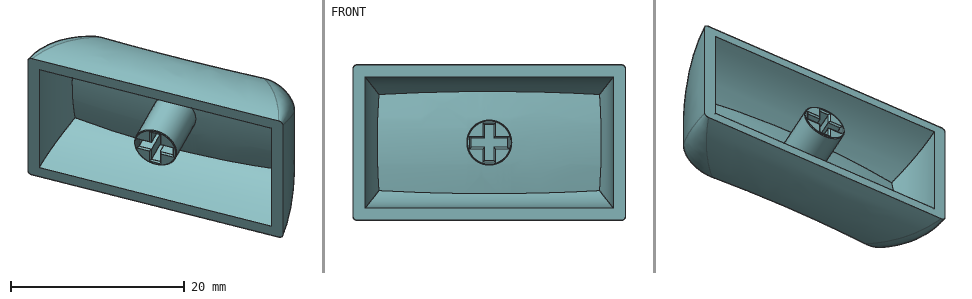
import cadquery as cq
import math

LENGTH = 31.5
WIDTH = 18.0
WALL = 1.42

END_RADIUS = 21.0
SIDE_RADIUS = 17.4
INNER_END_RADIUS = 18.1
INNER_SIDE_RADIUS = 14.65
BLANK_HEIGHT = 10.08
SECTION_COUNT = 8

CORNER_RADIUS_OPEN = 0.5
CORNER_GROWTH = 0.37

DISH_HEIGHT = 7.62
DISH_RADIUS_X = 94.5
DISH_RADIUS_Z = 32.13
TOP_WALL = 1.32
FLOOR_HEIGHT = DISH_HEIGHT - TOP_WALL
FLOOR_RADIUS_X = 119.7
FLOOR_RADIUS_Z = 34.65
BARREL_LENGTH = 37.8

STEM_DIAMETER = 5.2
STEM_CHAMFER = 0.1
CROSS_LENGTH = 4.15
CROSS_BAR = 1.07
CROSS_CHAMFER = 0.2

OPEN_SIDE = cq.Plane(origin=(0, 0, 0), xDir=(1, 0, 0), normal=(0, 1, 0))
ZY_PLANE = cq.Plane(origin=(0, 0, 0), xDir=(0, 0, 1), normal=(-1, 0, 0))


def inset(radius, height):
    """Inward lean at a height of a wall arc that starts upright."""
    return radius - math.sqrt(radius**2 - height**2)


def rounded_section(height):
    """Outer cross-section of the keycap at a height above the open side."""
    length = LENGTH - 2 * inset(END_RADIUS, height)
    width = WIDTH - 2 * inset(SIDE_RADIUS, height)
    corner = CORNER_RADIUS_OPEN + CORNER_GROWTH * height
    section = cq.Sketch().rect(length, width).vertices().fillet(corner)
    return section.moved(cq.Location(cq.Vector(0, 0, -height)))


def arched_prism(plane, half_width, radius, depth):
    """Prism whose two side walls lean inward along arcs, centred across its depth."""
    middle = BLANK_HEIGHT / 2
    top_half = half_width - inset(radius, BLANK_HEIGHT)
    middle_half = half_width - inset(radius, middle)
    return (
        cq.Workplane(plane)
        .moveTo(-half_width, 0)
        .lineTo(half_width, 0)
        .threePointArc((middle_half, middle), (top_half, BLANK_HEIGHT))
        .lineTo(-top_half, BLANK_HEIGHT)
        .threePointArc((-middle_half, middle), (-half_width, 0))
        .close()
        .extrude(depth / 2, both=True)
    )


def dish_barrel(lowest, radius_x, radius_z):
    """Barrel lying along X whose underside is a dish with the given lowest point and curvatures."""
    axis_height = lowest + radius_z
    half_length = BARREL_LENGTH / 2
    end_height = lowest + inset(radius_x, half_length)
    return (
        cq.Workplane("XY")
        .moveTo(-half_length, axis_height)
        .lineTo(-half_length, end_height)
        .threePointArc((0, lowest), (half_length, end_height))
        .lineTo(half_length, axis_height)
        .close()
        .revolve(360, (-half_length, axis_height, 0), (half_length, axis_height, 0))
    )


def slot(length, width, depth):
    """One bar of the socket cross, with a flared entry at the open side."""
    flare = 2 * CROSS_CHAMFER
    entry = cq.Sketch().rect(length + flare, width + flare)
    throat = cq.Sketch().rect(length, width).moved(cq.Location(cq.Vector(0, 0, CROSS_CHAMFER)))
    bar = cq.Workplane(OPEN_SIDE).rect(length, width).extrude(depth)
    return bar.union(cq.Workplane(OPEN_SIDE).placeSketch(entry, throat).loft())


heights = [BLANK_HEIGHT * step / SECTION_COUNT for step in range(SECTION_COUNT + 1)]
body = cq.Workplane("XZ").placeSketch(*[rounded_section(h) for h in heights]).loft()
body = body.cut(dish_barrel(DISH_HEIGHT, DISH_RADIUS_X, DISH_RADIUS_Z))

cavity = arched_prism("XY", LENGTH / 2 - WALL, INNER_END_RADIUS, WIDTH)
cavity = cavity.intersect(arched_prism(ZY_PLANE, WIDTH / 2 - WALL, INNER_SIDE_RADIUS, LENGTH))
cavity = cavity.cut(dish_barrel(FLOOR_HEIGHT, FLOOR_RADIUS_X, FLOOR_RADIUS_Z))

stem = cq.Workplane(OPEN_SIDE).circle(STEM_DIAMETER / 2).extrude(FLOOR_HEIGHT + TOP_WALL / 2)
stem = stem.faces("<Y").chamfer(STEM_CHAMFER)

socket = slot(CROSS_LENGTH, CROSS_BAR, FLOOR_HEIGHT).union(slot(CROSS_BAR, CROSS_LENGTH, FLOOR_HEIGHT))

result = body.cut(cavity).union(stem).cut(socket)